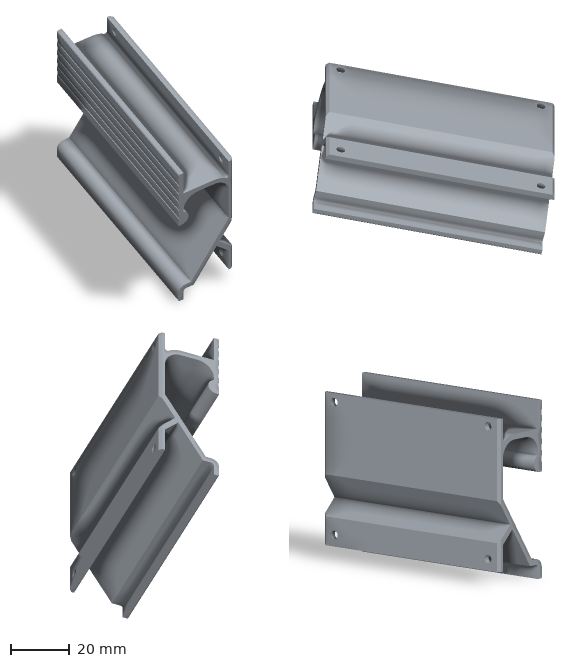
import cadquery as cq
import math

length = 80
depth = 22.0
height = 62.0
wall = 2.0

plate_top = 58.0
plate_bottom = 29.6
end_chamfer = wall / 2

web_top = 52
web_bottom = web_top - wall
cavity_radius = 6.0
valley_radius = 0.8
inner_back = -wall
inner_front = wall - depth

lip_radius = 1.5 * wall
lip_y = inner_front - wall / 2
lip_z = 40
grip_bottom = lip_z - lip_radius
groove_count = 5
groove_width = 2.0
groove_pitch = 2 * groove_width
groove_depth = 0.2
edge_chamfer = 0.3

slope_angle = math.radians(33)
slope_mitre = wall * math.tan(slope_angle / 2)

foot_top = 3.5 * wall
foot_bend_radius = wall / 2

leg_bottom = foot_top - wall
leg_bend = 15.0
leg_reach = 7.0

hole_diameter = 1.5 * wall
hole_end_distance = 2.5 * wall
upper_hole_z = plate_top - hole_diameter
lower_hole_z = leg_bottom + 4


def extrude(profile):
    """Extrude a Y-Z profile along the length, centred on X."""
    return profile.close().extrude(length / 2, both=True)


def profile_at(y, z):
    """Start a Y-Z profile at the given point."""
    return cq.Workplane("YZ").moveTo(y, z)


def arc_point(centre, radius, degrees):
    """Point on a circle, with the angle measured from +Y towards +Z."""
    angle = math.radians(degrees)
    return centre[0] + radius * math.cos(angle), centre[1] + radius * math.sin(angle)


def upper_section():
    """Rear plate, arched web and finger grip."""
    rear_centre = (inner_back - cavity_radius, web_bottom - cavity_radius)
    front_centre = (inner_front + cavity_radius, web_bottom - cavity_radius)
    lip_centre = (lip_y, lip_z)
    web_radius = cavity_radius + wall

    valley_y = inner_back - valley_radius
    valley_rise = math.sqrt((web_radius + valley_radius) ** 2 - (valley_y - rear_centre[0]) ** 2)
    valley_centre = (valley_y, rear_centre[1] + valley_rise)
    touch_angle = math.degrees(math.atan2(valley_rise, valley_y - rear_centre[0]))
    valley_end = arc_point(rear_centre, web_radius, touch_angle)

    lip_start_angle = math.degrees(math.acos((inner_front - lip_centre[0]) / lip_radius))
    lip_start = arc_point(lip_centre, lip_radius, lip_start_angle)

    return extrude(
        profile_at(0, plate_bottom)
        .lineTo(0, plate_top)
        .lineTo(inner_back, plate_top)
        .lineTo(inner_back, valley_centre[1])
        .threePointArc(arc_point(valley_centre, valley_radius, (touch_angle - 180) / 2), valley_end)
        .threePointArc(
            arc_point(rear_centre, web_radius, (touch_angle + 90) / 2), (rear_centre[0], web_top)
        )
        .lineTo(inner_front, web_top)
        .lineTo(inner_front, height)
        .lineTo(edge_chamfer - depth, height)
        .lineTo(-depth, height - edge_chamfer)
        .lineTo(-depth, grip_bottom)
        .lineTo(lip_centre[0], grip_bottom)
        .threePointArc(arc_point(lip_centre, lip_radius, (lip_start_angle - 90) / 2), lip_start)
        .lineTo(inner_front, front_centre[1])
        .threePointArc(arc_point(front_centre, cavity_radius, 135), (front_centre[0], web_bottom))
        .lineTo(rear_centre[0], web_bottom)
        .threePointArc(arc_point(rear_centre, cavity_radius, 45), (inner_back, rear_centre[1]))
        .lineTo(inner_back, plate_bottom + slope_mitre)
    )


def sloping_wall_and_foot():
    """Wall running forward and down from the plate, ending in a bent foot."""
    foot_bottom = foot_top - wall
    outer_radius = foot_bend_radius + wall
    bend_centre = (outer_radius - depth, foot_top - outer_radius)
    foot_corner_y = inner_back - (plate_bottom + slope_mitre - foot_top) * math.tan(slope_angle)
    under_y = -(plate_bottom - foot_bottom) * math.tan(slope_angle)
    return extrude(
        profile_at(0, plate_bottom)
        .lineTo(inner_back, plate_bottom + slope_mitre)
        .lineTo(foot_corner_y, foot_top)
        .lineTo(bend_centre[0], foot_top)
        .threePointArc(arc_point(bend_centre, outer_radius, 135), (-depth, bend_centre[1]))
        .lineTo(-depth, edge_chamfer)
        .lineTo(edge_chamfer - depth, 0)
        .lineTo(inner_front, 0)
        .lineTo(inner_front, bend_centre[1])
        .threePointArc(arc_point(bend_centre, foot_bend_radius, 135), (bend_centre[0], foot_bottom))
        .lineTo(under_y, foot_bottom)
    )


def rear_leg():
    """Leg bent at 45 degrees that joins the underside of the sloping wall."""
    leg_mitre = wall * math.tan(math.pi / 8)
    return extrude(
        profile_at(0, leg_bottom)
        .lineTo(0, leg_bend)
        .lineTo(-leg_reach, leg_bend + leg_reach)
        .lineTo(-leg_reach, leg_bend - leg_mitre + leg_reach - wall)
        .lineTo(inner_back, leg_bend - leg_mitre)
        .lineTo(inner_back, leg_bottom)
    )


def grip_grooves():
    """Shallow grooves centred on the height of the grip face."""
    return (
        cq.Workplane("XY", origin=(0, -depth, (height + grip_bottom) / 2))
        .transformed(rotate=(90, 0, 0))
        .rarray(0.8, groove_pitch, 1, groove_count)
        .rect(length, groove_width)
        .extrude(groove_depth, both=True)
    )


def end_chamfers():
    """Triangular cutters along the rear edges of both ends."""
    cutter = cq.Workplane("XY")
    for side in (-1, 1):
        end = side * length / 2
        corner = [(end, 0), (end - side * end_chamfer, 0), (end, -end_chamfer)]
        cutter = cutter.add(cq.Workplane("XY").polyline(corner).close().extrude(height))
    return cutter.combine()


def screw_holes():
    """Four holes through the rear plate and the leg."""
    hole_x = length / 2 - hole_end_distance
    centres = [(x, z) for x in (-hole_x, hole_x) for z in (lower_hole_z, upper_hole_z)]
    return cq.Workplane("XZ").pushPoints(centres).circle(hole_diameter / 2).extrude(wall)


result = (
    upper_section()
    .union(sloping_wall_and_foot())
    .union(rear_leg())
    .cut(grip_grooves())
    .cut(end_chamfers())
    .cut(screw_holes())
)